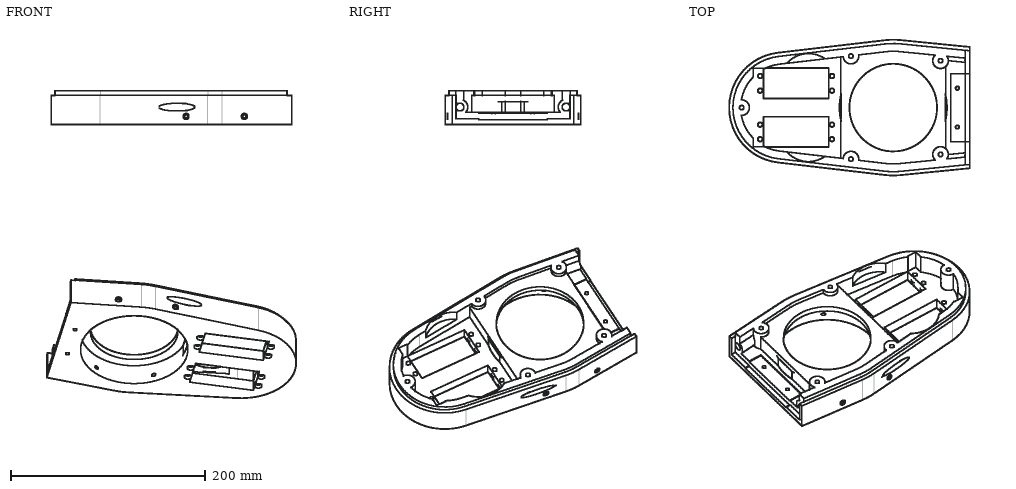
import cadquery as cq
import math


NOSE_END_X = -169.0
TAIL_END_X = 79.0
NOSE_RADIUS = 57.0
SHOULDER_RADIUS = 70.0
TAIL_HALF_WIDTH = 62.5
NOSE_CENTER_X = NOSE_END_X + NOSE_RADIUS

BODY_TOP = 30.0
RIM_TOP = 35.0
FLOOR_TOP = 12.5

RIM_INSET = 4.0
WALL_THICKNESS = 12.0
TAIL_STEP_LENGTH = 5.0
TAIL_STEP_X = TAIL_END_X - TAIL_STEP_LENGTH
TAIL_STEP_Z = 6.0

BLOCK_HALF_LENGTH = 54.0
BORE_DIAMETER = 110.5
OPENING_DIAMETER = 90.0
BLOCK_PLATE_THICKNESS = 6.4
BLOCK_SCREW_SPACING = 60.0
BLOCK_SCREW_Z = 8.5
BLOCK_SCREW_DIAMETER = 3.5
BLOCK_SCREW_HEAD_DIAMETER = 6.0
BLOCK_SCREW_HEAD_DEPTH = 2.0

BOSS_DIAMETER = 16.0
BOSS_HOLE_DIAMETER = 4.5
BOSS_HOLE_DEPTH = 20.0
NOSE_BOSS_X = -156.0
FRONT_BOSS = (-43.5, 53.0)
REAR_BOSS = (48.7, 48.2)

SERVO_X = -100.0
SERVO_Y = 25.0
SERVO_LENGTH = 67.0
SERVO_WIDTH = 31.0
SERVO_SCREW_SPACING_X = 74.0
SERVO_SCREW_SPACING_Y = 15.0
SERVO_SCREW_DIAMETER = 4.5
SERVO_SCREW_HEAD_DIAMETER = 7.2
SERVO_SCREW_HEAD_DEPTH = 4.0
SERVO_NOTCH_LENGTH = 10.5
SERVO_NOTCH_WIDTH = 19.3

RELIEF_CENTER = (-87.2, 26.0)
RELIEF_RADIUS = 29.6
RELIEF_Z = 22.2

TUNNEL_DIAMETER = 8.0
TUNNEL_SLEEVE_DIAMETER = 16.0
TUNNEL_Z = 18.0
TUNNEL_MOUTH_X = -39.5
TUNNEL_OVERRUN = 45.0
SLEEVE_START_X = 0.0

TAIL_POCKET_X = 59.0
TAIL_POCKET_WIDTH = 70.0
TAIL_POCKET_DEPTH = 1.0
TAIL_HOLE_X = 66.0
TAIL_HOLE_SPACING = 40.0
TAIL_HOLE_DIAMETER = 3.5

SIDE_ANGLE = math.asin((SHOULDER_RADIUS - NOSE_RADIUS) / -NOSE_CENTER_X)
TAIL_ANGLE = (
    math.pi / 2
    - math.atan2(TAIL_HALF_WIDTH, TAIL_END_X)
    - math.acos(SHOULDER_RADIUS / math.hypot(TAIL_END_X, TAIL_HALF_WIDTH))
)
SIDES = (-1, 1)


def wall_y(x, inset=0):
    """Half width of the outline at `x`, measured along its straight stretches."""
    angle = SIDE_ANGLE if x < 0 else TAIL_ANGLE
    return (SHOULDER_RADIUS - inset) / math.cos(angle) - abs(x) * math.tan(angle)


def box(x_range, y_range, z_range):
    """Axis-aligned box between the given limits."""
    (x0, x1), (y0, y1), (z0, z1) = x_range, y_range, z_range
    return cq.Workplane("XY").box(x1 - x0, y1 - y0, z1 - z0, centered=False).translate((x0, y0, z0))


def cylinder(x, y, diameter, z0, z1):
    """Vertical cylinder between two heights."""
    return cq.Workplane("XY", origin=(x, y, z0)).circle(diameter / 2).extrude(z1 - z0)


def outline(inset, end_x, z0, z1):
    """Prism of the plan outline moved inwards by `inset` and cut off at `end_x`."""
    nose = NOSE_RADIUS - inset
    shoulder = SHOULDER_RADIUS - inset
    side_x, side_y = -math.sin(SIDE_ANGLE), math.cos(SIDE_ANGLE)
    nose_x, nose_y = NOSE_CENTER_X + nose * side_x, nose * side_y
    front_x, front_y = shoulder * side_x, shoulder * side_y
    rear_x, rear_y = shoulder * math.sin(TAIL_ANGLE), shoulder * math.cos(TAIL_ANGLE)
    end_y = wall_y(end_x, inset)
    return (
        cq.Workplane("XY", origin=(0, 0, z0))
        .moveTo(nose_x, -nose_y)
        .threePointArc((NOSE_CENTER_X - nose, 0), (nose_x, nose_y))
        .lineTo(front_x, front_y)
        .threePointArc((0, shoulder), (rear_x, rear_y))
        .lineTo(end_x, end_y)
        .lineTo(end_x, -end_y)
        .lineTo(rear_x, -rear_y)
        .threePointArc((0, -shoulder), (front_x, -front_y))
        .close()
        .extrude(z1 - z0)
    )


def tunnel_cylinder(side, diameter, start_x, end_x):
    """Cylinder on a cable tunnel axis, from one X position to another."""
    slope = math.tan(TAIL_ANGLE)
    start_y = wall_y(TUNNEL_MOUTH_X) - (start_x - TUNNEL_MOUTH_X) * slope
    length = (end_x - start_x) / math.cos(TAIL_ANGLE)
    start = cq.Vector(start_x, side * start_y, TUNNEL_Z)
    direction = cq.Vector(1, -side * slope, 0)
    return cq.Workplane(cq.Solid.makeCylinder(diameter / 2, length, start, direction))


def make_shell():
    """Floor and walls, with the raised rim and the lowered step at the tail."""
    shell = outline(0, TAIL_END_X, 0, BODY_TOP).union(outline(RIM_INSET, TAIL_STEP_X, 0, RIM_TOP))
    cavity = outline(WALL_THICKNESS, TAIL_END_X, FLOOR_TOP, RIM_TOP)
    tail = box((TAIL_STEP_X, TAIL_END_X), (-SHOULDER_RADIUS, SHOULDER_RADIUS), (TAIL_STEP_Z, RIM_TOP))
    tail_step = outline(RIM_INSET, TAIL_END_X, 0, RIM_TOP).intersect(tail)
    return shell.cut(cavity).cut(tail_step)


def add_sleeves(part):
    """Round sleeves that carry the cable tunnels along the rear walls."""
    inside = outline(RIM_INSET, TAIL_STEP_X, 0, RIM_TOP)
    for side in SIDES:
        sleeve = tunnel_cylinder(side, TUNNEL_SLEEVE_DIAMETER, SLEEVE_START_X, TAIL_END_X)
        part = part.union(sleeve.intersect(inside))
    return part


def add_block(part):
    """Raised block around the bore, reaching from wall to wall."""
    limits = box(
        (-BLOCK_HALF_LENGTH, BLOCK_HALF_LENGTH), (-SHOULDER_RADIUS, SHOULDER_RADIUS), (0, BODY_TOP)
    )
    return part.union(outline(RIM_INSET, TAIL_STEP_X, 0, BODY_TOP).intersect(limits))


def boss_positions():
    positions = [(NOSE_BOSS_X, 0)]
    for side in SIDES:
        for x, y in (FRONT_BOSS, REAR_BOSS):
            positions.append((x, side * y))
    return positions


def add_bosses(part):
    """Lid screw bosses standing on the floor, flush with the rim."""
    for x, y in boss_positions():
        part = part.union(cylinder(x, y, BOSS_DIAMETER, FLOOR_TOP, RIM_TOP))
    return part


def cut_boss_holes(part):
    for x, y in boss_positions():
        part = part.cut(cylinder(x, y, BOSS_HOLE_DIAMETER, RIM_TOP - BOSS_HOLE_DEPTH, RIM_TOP))
    return part


def cut_bore(part):
    """Wide bore from below and a smaller opening through the top plate."""
    part = part.cut(cylinder(0, 0, BORE_DIAMETER, 0, BODY_TOP - BLOCK_PLATE_THICKNESS))
    return part.cut(cylinder(0, 0, OPENING_DIAMETER, 0, BODY_TOP))


def cut_block_screws(part):
    """Counterbored cross holes through the side walls into the bore."""
    for x in (-BLOCK_SCREW_SPACING / 2, BLOCK_SCREW_SPACING / 2):
        for side in SIDES:
            outward = cq.Vector(0, side, 0)
            shank = cq.Solid.makeCylinder(
                BLOCK_SCREW_DIAMETER / 2, SHOULDER_RADIUS, cq.Vector(x, 0, BLOCK_SCREW_Z), outward
            )
            head_start = cq.Vector(x, side * (wall_y(x) - BLOCK_SCREW_HEAD_DEPTH), BLOCK_SCREW_Z)
            head = cq.Solid.makeCylinder(
                BLOCK_SCREW_HEAD_DIAMETER / 2, SHOULDER_RADIUS, head_start, outward
            )
            part = part.cut(cq.Workplane(shank)).cut(cq.Workplane(head))
    return part


def cut_servo(part, side):
    """Servo window with its corner notch, four screw holes and wall relief."""
    start_x = SERVO_X - SERVO_LENGTH / 2
    inner_y = SERVO_Y - SERVO_WIDTH / 2
    outer_y = SERVO_Y + SERVO_WIDTH / 2
    window = box((start_x, start_x + SERVO_LENGTH), (inner_y, outer_y), (0, FLOOR_TOP))
    notch = box(
        (start_x - SERVO_NOTCH_LENGTH, start_x),
        (outer_y - SERVO_NOTCH_WIDTH, outer_y),
        (FLOOR_TOP, RIM_TOP),
    )
    tools = window.union(notch).union(cylinder(*RELIEF_CENTER, 2 * RELIEF_RADIUS, RELIEF_Z, RIM_TOP))
    for x in (SERVO_X - SERVO_SCREW_SPACING_X / 2, SERVO_X + SERVO_SCREW_SPACING_X / 2):
        for y in (SERVO_Y - SERVO_SCREW_SPACING_Y / 2, SERVO_Y + SERVO_SCREW_SPACING_Y / 2):
            tools = tools.union(cylinder(x, y, SERVO_SCREW_DIAMETER, 0, FLOOR_TOP))
            tools = tools.union(cylinder(x, y, SERVO_SCREW_HEAD_DIAMETER, 0, SERVO_SCREW_HEAD_DEPTH))
    if side < 0:
        tools = tools.mirror("XZ")
    return part.cut(tools)


def cut_tail_pocket(part):
    """Shallow pocket in the floor and the tail step, with two through holes."""
    half_width = TAIL_POCKET_WIDTH / 2
    y_range = (-half_width, half_width)
    for start_x, top in ((TAIL_POCKET_X, FLOOR_TOP), (TAIL_STEP_X, TAIL_STEP_Z)):
        part = part.cut(box((start_x, TAIL_END_X), y_range, (top - TAIL_POCKET_DEPTH, top)))
    for side in SIDES:
        hole_y = side * TAIL_HOLE_SPACING / 2
        part = part.cut(cylinder(TAIL_HOLE_X, hole_y, TAIL_HOLE_DIAMETER, 0, FLOOR_TOP))
    return part


part = make_shell()
part = add_sleeves(part)
part = add_block(part)
part = add_bosses(part)
part = cut_boss_holes(part)
part = cut_bore(part)
part = cut_block_screws(part)
for servo_side in SIDES:
    part = cut_servo(part, servo_side)
part = cut_tail_pocket(part)
for tunnel_side in SIDES:
    part = part.cut(
        tunnel_cylinder(tunnel_side, TUNNEL_DIAMETER, TUNNEL_MOUTH_X - TUNNEL_OVERRUN, TAIL_END_X)
    )

result = part